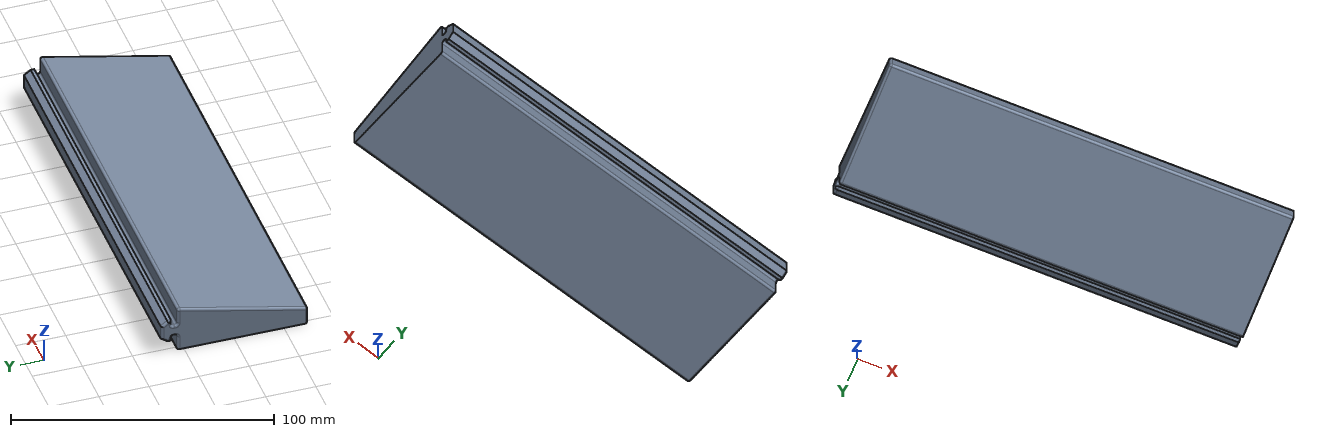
import cadquery as cq
import math

length = 165.0
total_depth = 58.5
height = 19.8

body_depth = 52.1
slope_angle = math.radians(13)
edge_radius = 1.0

rail_z = height / 2
neck_half = 2.3
neck_radius = 1.0
head_half = 5.0
head_face_half = 3.0
head_depth = 4.1
head_slope_depth = 2.6


def make_body():
    """Wedge with sharp edges, ready for rounding."""
    ridge_loss = edge_radius * (1 / math.cos(slope_angle) + math.tan(slope_angle) - 1)
    ridge_z = height + ridge_loss
    front_z = ridge_z - body_depth * math.tan(slope_angle)
    outline = [
        (0, 0),
        (body_depth, 0),
        (body_depth, ridge_z),
        (0, front_z),
    ]
    return cq.Workplane("YZ").polyline(outline).close().extrude(length)


def make_rail():
    """Neck flaring into the body and into a bevelled head that overhangs it."""
    head_back = total_depth - head_depth
    head_root = head_back - neck_radius
    slope_end = total_depth - head_slope_depth
    flare_end = neck_half + neck_radius
    flare_start = body_depth + neck_radius
    return (
        cq.Workplane("YZ")
        .center(0, rail_z)
        .moveTo(body_depth, -flare_end)
        .radiusArc((flare_start, -neck_half), neck_radius)
        .lineTo(head_root, -neck_half)
        .radiusArc((head_back, -flare_end), neck_radius)
        .lineTo(head_back, -head_half)
        .lineTo(slope_end, -head_half)
        .lineTo(total_depth, -head_face_half)
        .lineTo(total_depth, head_face_half)
        .lineTo(slope_end, head_half)
        .lineTo(head_back, head_half)
        .lineTo(head_back, flare_end)
        .radiusArc((head_root, neck_half), neck_radius)
        .lineTo(flare_start, neck_half)
        .radiusArc((body_depth, flare_end), neck_radius)
        .close()
        .extrude(length)
    )


rounded_edges = "<X or (|X and (<Y or <Z or >Z))"
result = make_body().union(make_rail()).edges(rounded_edges).fillet(edge_radius)